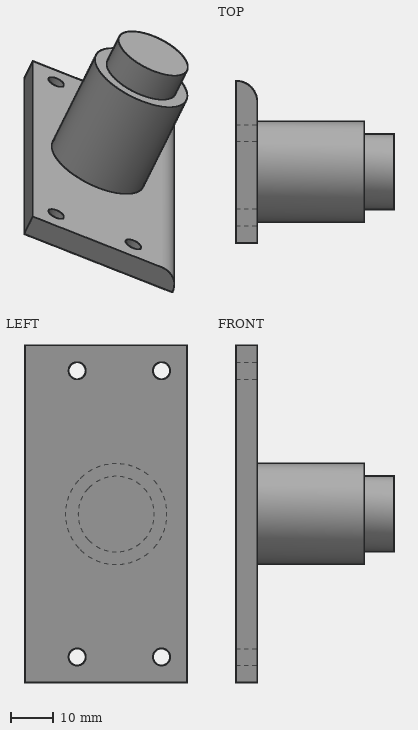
import cadquery as cq

plate_height = 80.0
plate_width = 38.5
plate_thickness = 5.1
rounding_depth = 4.8

total_length = 37.5
post_diameter = 24.0
tip_diameter = 18.0
tip_length = 7.0
post_to_square_edge = 16.9

hole_diameter = 4.0
hole_row_spacing = 67.8
hole_spacing = 20.0
first_hole_from_edge = 6.1

square_edge_y = -post_to_square_edge
rounded_edge_y = square_edge_y + plate_width
shoulder_x = total_length - tip_length


def make_plate():
    """Plate with one long front edge rounded, centred on the post axis in Z."""
    arc_start = (0, rounded_edge_y)
    arc_end = (plate_thickness, rounded_edge_y - rounding_depth)
    arc_radius = (plate_thickness**2 + rounding_depth**2) / (2 * rounding_depth)
    return (
        cq.Workplane("XY", origin=(0, 0, -plate_height / 2))
        .moveTo(0, square_edge_y)
        .lineTo(plate_thickness, square_edge_y)
        .lineTo(*arc_end)
        .radiusArc(arc_start, -arc_radius)
        .close()
        .extrude(plate_height)
    )


def make_post():
    """Thick post with a thinner tip, starting inside the plate."""
    post = cq.Workplane("YZ").circle(post_diameter / 2).extrude(shoulder_x)
    tip = cq.Workplane("YZ").circle(tip_diameter / 2).extrude(total_length)
    return post.union(tip)


def make_mounting_holes():
    first_hole_y = square_edge_y + first_hole_from_edge
    row_z = hole_row_spacing / 2
    hole_centres = [
        (y, z)
        for y in (first_hole_y, first_hole_y + hole_spacing)
        for z in (-row_z, row_z)
    ]
    return (
        cq.Workplane("YZ")
        .pushPoints(hole_centres)
        .circle(hole_diameter / 2)
        .extrude(plate_thickness)
    )


result = make_plate().union(make_post()).cut(make_mounting_holes())